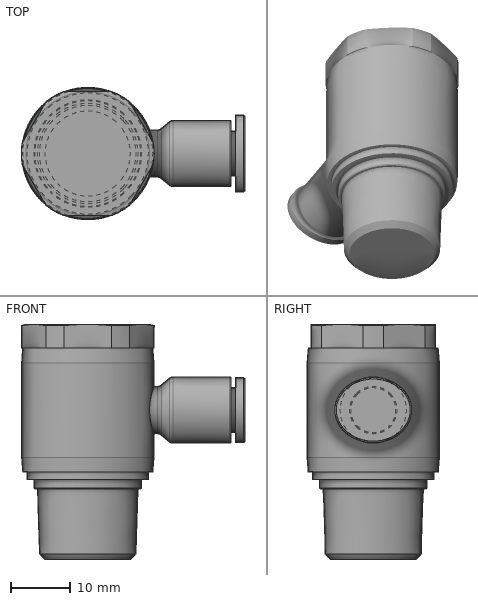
import cadquery as cq
import math

stem_length = 12.0
stem_chamfer_height = 1.0
stem_tip_radius = 7.2
stem_top_radius = 8.5
stem_taper_slope = 1 / 32
stem_lower_radius = stem_top_radius - stem_taper_slope * (stem_length - stem_chamfer_height)

collar_radius = 9.1
collar_chamfer = 0.15
collar_top_z = 13.55
seat_radius = 10.25
seat_top_z = 14.85

body_radius = 11.2
body_end_radius = 11.0
body_lower_band_top_z = 17.3
body_upper_band_bottom_z = 33.3
body_top_z = 35.8

total_height = 39.8
hex_sides = 6
hex_half_angle = math.pi / hex_sides
hex_across_flats = 21.0
hex_blank_radius = 11.25
hex_top_radius = 10.45
hex_chamfer_angle = math.radians(15)
hex_chamfer_height = (hex_blank_radius - hex_top_radius) * math.tan(hex_chamfer_angle)

port_z = 25.3
overall_length = 37.88
port_end_x = overall_length - hex_blank_radius
neck_radius = 4.0
neck_end_x = 11.8
shoulder_angle = math.radians(40)
shoulder_blend_radius = 1.0
sleeve_radius = 5.6
sleeve_end_x = 24.25
sleeve_edge_round = 0.25
ring_stem_radius = 3.8
ring_start_x = 25.0
ring_width = 13.0
ring_height = 11.0
ring_edge_chamfer = 0.25


def make_body():
    """Stem, steps and body turned about the Z axis."""
    profile = [
        (0, 0),
        (stem_tip_radius, 0),
        (stem_lower_radius, stem_chamfer_height),
        (stem_top_radius, stem_length),
        (collar_radius - collar_chamfer, stem_length),
        (collar_radius, stem_length + collar_chamfer),
        (collar_radius, collar_top_z),
        (seat_radius, collar_top_z),
        (seat_radius, seat_top_z),
        (body_end_radius, seat_top_z),
        (body_radius, body_lower_band_top_z),
        (body_radius, body_upper_band_bottom_z),
        (body_end_radius, body_top_z),
        (0, body_top_z),
    ]
    return cq.Workplane("XZ").polyline(profile).close().revolve(360, (0, 0), (0, 1))


def make_hex_head():
    """Hexagon with corners on +X and -X, trimmed by a chamfered round blank."""
    hex_corner_diameter = hex_across_flats / math.cos(hex_half_angle)
    head_height = total_height - body_top_z
    prism = (
        cq.Workplane("XY", origin=(0, 0, body_top_z))
        .polygon(hex_sides, hex_corner_diameter)
        .extrude(head_height)
    )
    blank_profile = [
        (0, body_top_z),
        (hex_blank_radius, body_top_z),
        (hex_blank_radius, total_height - hex_chamfer_height),
        (hex_top_radius, total_height),
        (0, total_height),
    ]
    blank = cq.Workplane("XZ").polyline(blank_profile).close().revolve(360, (0, 0), (0, 1))
    return prism.intersect(blank)


def blend_offset(angle):
    """Axial and radial run of a shoulder blend arc after turning by the given angle."""
    along = shoulder_blend_radius * math.sin(angle)
    outward = shoulder_blend_radius * (1 - math.cos(angle))
    return along, outward


def make_port():
    """Neck, shoulder, sleeve and ring stem turned about the port axis."""
    half_along, half_outward = blend_offset(shoulder_angle / 2)
    full_along, full_outward = blend_offset(shoulder_angle)
    cone_rise = sleeve_radius - neck_radius - 2 * full_outward
    cone_length = cone_rise / math.tan(shoulder_angle)
    sleeve_start_x = neck_end_x + 2 * full_along + cone_length
    round_middle = sleeve_edge_round * (1 - math.sqrt(0.5))

    port = (
        cq.Workplane("XZ", origin=(0, 0, port_z))
        .lineTo(0, neck_radius)
        .lineTo(neck_end_x, neck_radius)
        .threePointArc(
            (neck_end_x + half_along, neck_radius + half_outward),
            (neck_end_x + full_along, neck_radius + full_outward),
        )
        .lineTo(sleeve_start_x - full_along, sleeve_radius - full_outward)
        .threePointArc(
            (sleeve_start_x - half_along, sleeve_radius - half_outward),
            (sleeve_start_x, sleeve_radius),
        )
        .lineTo(sleeve_end_x - sleeve_edge_round, sleeve_radius)
        .threePointArc(
            (sleeve_end_x - round_middle, sleeve_radius - round_middle),
            (sleeve_end_x, sleeve_radius - sleeve_edge_round),
        )
        .lineTo(sleeve_end_x, ring_stem_radius)
        .lineTo(ring_start_x, ring_stem_radius)
        .lineTo(ring_start_x, 0)
        .close()
    )
    return port.revolve(360, (0, 0), (1, 0))


def make_release_ring():
    """Elliptical ring, wider along Y than tall, with its outer edge chamfered."""
    return (
        cq.Workplane("YZ", origin=(ring_start_x, 0, port_z))
        .ellipse(ring_width / 2, ring_height / 2)
        .extrude(port_end_x - ring_start_x)
        .faces(">X")
        .chamfer(ring_edge_chamfer)
    )


result = make_body().union(make_hex_head()).union(make_port()).union(make_release_ring())